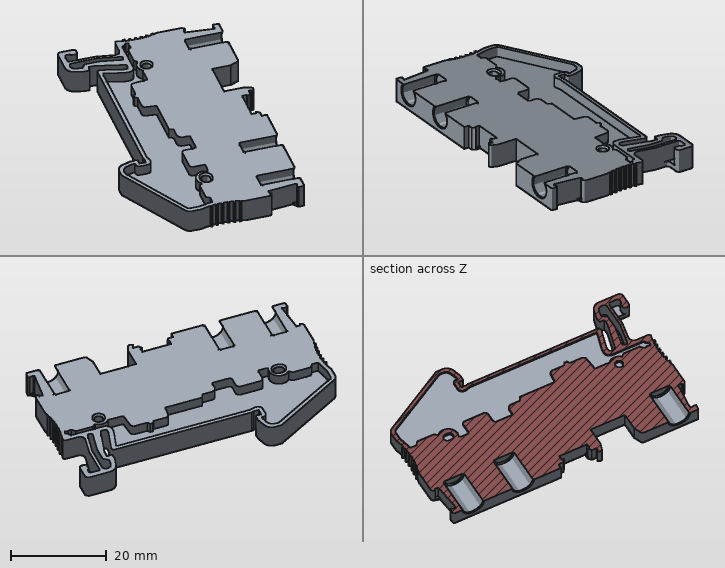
import cadquery as cq
import math

LENGTH = 60.4
WIDTH = 35.2
THICKNESS = 5.2

POCKET_DEPTH = 2.3
SNAP_WEB = 0.4
HOOK_WEB = 1.2

RAIL_EDGE = 6.05
JAW = 4.8
SHOULDER = 12.57
GAP_FLOOR = 29.15
SEAT_FLOOR = 32.25
SEAT_STEP = 34.1
HOLE_Y = 16.55

FOOT_LEFT = 0.2
FOOT_HOOK_TOP = 4.05
LEG_OUTER = 3.85
LEG_INNER = 4.57

SEAT_LEFT = 26.45
SEAT_RIGHT = 32.05
SEAT_UNDERCUT = 0.45
SEAT_UNDERCUT_HEIGHT = 1.05

LEFT_NOTCH_LOW = (1.74, 28.25)
LEFT_NOTCH_HIGH = (2.26, 32.95)
RIGHT_NOTCH_LOW = (58.66, 28.25)
RIGHT_NOTCH_HIGH = (58.16, 32.95)
UNDERCUT_LOW = 27.5
UNDERCUT_HIGH = 33.55

WEDGE_ANGLE = math.radians(30)
WEDGE_TOE_X = 44.2
WEDGE_END_Y = (LENGTH - WEDGE_TOE_X) * math.tan(WEDGE_ANGLE)

GRIP_Y = 17.15
GRIP_HALF_HEIGHT = 4.85
GRIP_DEPTH = 0.77
GRIP_RADIUS = (GRIP_HALF_HEIGHT**2 + GRIP_DEPTH**2) / (2 * GRIP_DEPTH)
RIDGE_COUNT = 6
RIDGE_PITCH = 1.25
RIDGE_FIRST_Y = 14.65
RIDGE_BASE = 0.5
RIDGE_TIP = 0.35
RIDGE_HEIGHT = 0.42

GROOVE_FLAT = 0.4
GROOVE_CENTERS = (5.7, 42.8, 54.65)
GROOVE_RADIUS = 2.25
GROOVE_OPENING = 3.35
GROOVE_AXIS_DEPTH = math.sqrt(GROOVE_RADIUS**2 - ((GROOVE_OPENING - GROOVE_FLAT) / 2)**2)
GROOVE_LENGTH = 8.55
GROOVE_END_TAPER = 0.3
GROOVE_END_REDUCTION = 0.26
GROOVE_MOUTH_CHAMFER = 0.2

HOLES = ((9.75, 0.0, 2.1), (50.32, 0.5, 2.2))
HOLE_RADIUS = 0.95
HOLE_CHAMFER = 0.4
COUNTERSINK_TAPER = 45
HOLE_DEPTH = 2.5
HOLE_DRAFT = 3.0


def rounded_outline(corners):
    """Closed wire through (x, y) or (x, y, radius) corners, rounding those with a radius."""
    spans = []
    count = len(corners)
    for i, corner in enumerate(corners):
        here = cq.Vector(corner[0], corner[1])
        radius = corner[2] if len(corner) > 2 else 0
        if radius == 0:
            spans.append((here, None, here))
            continue
        before = cq.Vector(*corners[i - 1][:2])
        after = cq.Vector(*corners[(i + 1) % count][:2])
        to_before = (before - here).normalized()
        to_after = (after - here).normalized()
        half = to_before.getAngle(to_after) / 2
        setback = radius / math.tan(half)
        bisector = (to_before + to_after).normalized()
        middle = here + bisector * (radius / math.sin(half) - radius)
        spans.append((here + to_before * setback, middle, here + to_after * setback))
    path = cq.Workplane("XY").moveTo(*spans[0][2].toTuple()[:2])
    for start, middle, end in spans[1:] + spans[:1]:
        path = path.lineTo(*start.toTuple()[:2])
        if middle is not None:
            path = path.threePointArc(middle.toTuple()[:2], end.toTuple()[:2])
    return path.close()


def prism(corners, bottom, top):
    """Rounded outline extruded between two Z levels."""
    return rounded_outline(corners).extrude(top - bottom).translate((0, 0, bottom))


def body():
    """Full-thickness plate: the complete outer outline, traced clockwise from the top left corner."""
    top_edge = [
        (1.05, WIDTH, 0.3), (14.46, WIDTH, 0.4), (15.31, 33.2), (15.31, GAP_FLOOR),
        (23.36, GAP_FLOOR), (23.36, 33.5, 1.0), (23.95, WIDTH, 0.5), (24.66, WIDTH, 0.2),
        (25.01, 34.9), (24.76, 34.6), (24.76, SEAT_STEP), (25.86, SEAT_STEP),
        (SEAT_LEFT, 33.35), (SEAT_LEFT, SEAT_FLOOR), (SEAT_RIGHT, SEAT_FLOOR),
        (SEAT_RIGHT, 33.4), (32.61, SEAT_STEP), (33.71, SEAT_STEP), (33.71, WIDTH),
    ]
    right_end = [
        (59.24, WIDTH, 0.3), (59.36, 34.35), (59.36, 33.9), RIGHT_NOTCH_HIGH, RIGHT_NOTCH_LOW,
        (LENGTH, 27.75, 0.9), (LENGTH, WEDGE_END_Y, 1.6),
    ]
    wedge_foot = [
        (WEDGE_TOE_X, 0, 1.2), (41.25, 0, 2.0), (40.24, 3.3, 2), (40.24, JAW, 0.35),
        (41.51, JAW), (41.51, 6.2), (40.4, 6.2), (39.95, RAIL_EDGE),
    ]
    spring_foot = [
        (8.61, RAIL_EDGE, 0.5), (8.61, 6.9), (9.88, 11.4), (9.88, SHOULDER, 0.5),
        (8.52, SHOULDER, 0.5), (6.83, 6.1), (6.83, JAW), (8.05, JAW, 0.35),
        (8.0, 3.3, 2), (7.1, 0, 2), (FOOT_LEFT, 0, 0.85),
        (FOOT_LEFT, FOOT_HOOK_TOP, 0.7), (LEG_OUTER, FOOT_HOOK_TOP, 0.9),
        (LEG_OUTER, 7.25), (4.86, SHOULDER, 1.15),
    ]
    left_end = [
        (FOOT_LEFT, SHOULDER, 0.6), (FOOT_LEFT, 14), (0, 14), (0, 27.75, 0.9),
        LEFT_NOTCH_LOW, LEFT_NOTCH_HIGH, (1.46, 33.7), (0.93, 33.9), (0.93, 34.35),
    ]
    return prism(top_edge + right_end + wedge_foot + spring_foot + left_end, 0, THICKNESS)


def spring_slot():
    """Slot between the two legs of the spring foot, ending in a bulb."""
    return prism([
        (5.6, SHOULDER, 0.45), (6.73, SHOULDER, 0.45), (5.7, 7.45, 2), (5.7, 4.3, 0.2),
        (6.79, 3.5, 0.3), (6.46, 1.2, 1.2), (LEG_INNER, 1.2, 0.7), (LEG_INNER, 7.45, 2),
    ], 0, THICKNESS)


def hook_pocket():
    """Recess behind the curled lip of the spring foot, open towards +Y."""
    return prism([
        (1.36, FOOT_HOOK_TOP + 1.0), (1.36, FOOT_HOOK_TOP), (1.86, FOOT_HOOK_TOP, 0.45), (1.86, 2.55, 0.2),
        (1.51, 2.35, 0.1), (1.51, 1.25, 0.5), (LEG_OUTER, 1.25, 0.4), (LEG_OUTER, FOOT_HOOK_TOP + 1.0),
    ], HOOK_WEB, THICKNESS)


def beyond(start, end, y):
    """Point at height y on the straight line through start and end."""
    slope = (end[0] - start[0]) / (end[1] - start[1])
    return (end[0] + slope * (y - end[1]), y)


def snap_undercuts():
    """Recesses that leave only a thin web in the corners of the snap notches and the seat."""
    left_upper = [
        (1.25, 33.75), (2.15, 33.9),
        beyond(LEFT_NOTCH_LOW, LEFT_NOTCH_HIGH, UNDERCUT_HIGH), LEFT_NOTCH_HIGH,
    ]
    left_lower = [
        (0.72, 28.05), (0.9, UNDERCUT_LOW),
        beyond(LEFT_NOTCH_HIGH, LEFT_NOTCH_LOW, UNDERCUT_LOW), LEFT_NOTCH_LOW,
    ]
    right_upper = [
        (59.15, 33.7), (58.1, 33.9),
        beyond(RIGHT_NOTCH_LOW, RIGHT_NOTCH_HIGH, UNDERCUT_HIGH), RIGHT_NOTCH_HIGH,
    ]
    right_lower = [
        (59.75, 28.0), (59.5, UNDERCUT_LOW),
        beyond(RIGHT_NOTCH_HIGH, RIGHT_NOTCH_LOW, UNDERCUT_LOW), RIGHT_NOTCH_LOW,
    ]
    seat_top = SEAT_FLOOR + SEAT_UNDERCUT_HEIGHT
    seat_left_cut = [
        (SEAT_LEFT - SEAT_UNDERCUT, SEAT_FLOOR), (SEAT_LEFT, SEAT_FLOOR),
        (SEAT_LEFT, seat_top), (SEAT_LEFT - SEAT_UNDERCUT, seat_top),
    ]
    seat_right_cut = [
        (SEAT_RIGHT, SEAT_FLOOR), (SEAT_RIGHT + SEAT_UNDERCUT, SEAT_FLOOR),
        (SEAT_RIGHT + SEAT_UNDERCUT, seat_top), (SEAT_RIGHT, seat_top),
    ]
    cuts = cq.Workplane("XY")
    for corners in (left_upper, left_lower, right_upper, right_lower, seat_left_cut, seat_right_cut):
        cuts = cuts.add(prism(corners, SNAP_WEB, THICKNESS))
    return cuts.combine()


def end_grip(block):
    """Hollow both ends with a shallow arc and add tapered grip ridges."""
    for side in (-1, 1):
        end_x = 0 if side < 0 else LENGTH
        axis_x = end_x + side * (GRIP_RADIUS - GRIP_DEPTH)
        hollow = cq.Workplane("XY").center(axis_x, GRIP_Y).circle(GRIP_RADIUS).extrude(THICKNESS)
        block = block.cut(hollow)
        for i in range(RIDGE_COUNT):
            y = RIDGE_FIRST_Y + i * RIDGE_PITCH
            base_x = axis_x - side * math.sqrt(GRIP_RADIUS**2 - (y - GRIP_Y) ** 2)
            height = min(RIDGE_HEIGHT, abs(base_x - end_x))
            root_x = base_x - side * RIDGE_HEIGHT
            tip_x = base_x + side * height
            ridge = prism([
                (root_x, y - RIDGE_BASE / 2), (base_x, y - RIDGE_BASE / 2), (tip_x, y - RIDGE_TIP / 2),
                (tip_x, y + RIDGE_TIP / 2), (base_x, y + RIDGE_BASE / 2), (root_x, y + RIDGE_BASE / 2),
            ], 0, THICKNESS)
            block = block.union(ridge)
    return block


def lower_pocket():
    """Pocket in the +Z face between the body step and the rim along the bottom."""
    step = [
        (1.61, 15.25), (2.31, 15.1), (3.06, 15.25), (3.76, 14.43), (7.56, 14.43), (8.26, 15.0), (8.71, 15.0),
        (11.26, 15.25), (12.06, 15.15), (14.71, 15.15, 0.3), (15.06, 11.3, 0.8),
        (18.56, 11.3), (18.96, 10.72), (19.56, 10.72), (19.96, 11.3),
        (23.46, 11.3, 0.8), (23.81, 14.25, 0.2), (32.16, 14.25),
        (32.56, 15.15, 0.3), (35.71, 15.15, 1.1), (35.71, 17.7, 0.3), (40.06, 17.7, 0.6), (40.06, 14.43, 0.8),
        (46.06, 14.43, 0.8), (46.06, 17.7, 0.3), (48.36, 17.7, 0.3), (48.11, 16.5), (51.56, 15.05),
        (51.96, 15.05, 0.3), (52.56, 14.43, 0.5), (56.75, 14.43, 0.6), (57.16, 15.25), (58.61, 15.25),
    ]
    rim = [
        (59.33, 12.2), (59.33, WEDGE_END_Y + 0.4, 0.6), (43.96, 0.95, 1.2), (42.06, 0.95, 1.5),
        (41.31, 3.3), (41.31, 3.85), (42.46, 3.85, 0.8), (42.46, 7.25, 1.0), (41.06, 7.25), (39.96, 6.92),
        (9.76, 6.92, 0.3), (11.06, 11.4), (11.06, 13.65, 1.3), (2.36, 13.65), (2.16, 14.1), (1.51, 14.65),
    ]
    pocket = prism(step + rim, THICKNESS - POCKET_DEPTH, THICKNESS)
    for x, _, boss_radius in HOLES:
        pocket = pocket.cut(cq.Workplane("XY").center(x, HOLE_Y).circle(boss_radius).extrude(THICKNESS))
    return pocket


def blind_hole(x, slot):
    """Countersunk blind hole with a drafted wall, stretched along X by the slot length."""
    def section(radius):
        plane = cq.Workplane("XY", origin=(x, HOLE_Y, THICKNESS))
        return plane.slot2D(slot + 2 * radius, 2 * radius) if slot else plane.circle(radius)
    bore = section(HOLE_RADIUS).extrude(-HOLE_DEPTH, taper=HOLE_DRAFT)
    countersink = section(HOLE_RADIUS + HOLE_CHAMFER).extrude(-HOLE_CHAMFER, taper=COUNTERSINK_TAPER)
    return bore.union(countersink)


def probe_groove(x):
    """Obround rod lying in the +Z face, chamfered at its inner end and flared at its mouth."""
    def section(radius, y):
        plane = cq.Workplane("XZ", origin=(x, y, THICKNESS - GROOVE_AXIS_DEPTH))
        return plane.slot2D(GROOVE_FLAT + 2 * radius, 2 * radius)
    rod = section(GROOVE_RADIUS, WIDTH).extrude(GROOVE_LENGTH)
    rod = rod.faces("<Y").chamfer(GROOVE_END_TAPER, GROOVE_END_REDUCTION)
    flare = section(GROOVE_RADIUS + GROOVE_MOUTH_CHAMFER, WIDTH).extrude(2 * GROOVE_MOUTH_CHAMFER)
    flare = flare.faces("<Y").chamfer(GROOVE_MOUTH_CHAMFER).translate((0, GROOVE_MOUTH_CHAMFER, 0))
    return rod.union(flare)


result = end_grip(body())
result = result.cut(spring_slot()).cut(hook_pocket()).cut(snap_undercuts()).cut(lower_pocket())
for hole_x, hole_slot, _ in HOLES:
    result = result.cut(blind_hole(hole_x, hole_slot))
for groove_x in GROOVE_CENTERS:
    result = result.cut(probe_groove(groove_x))